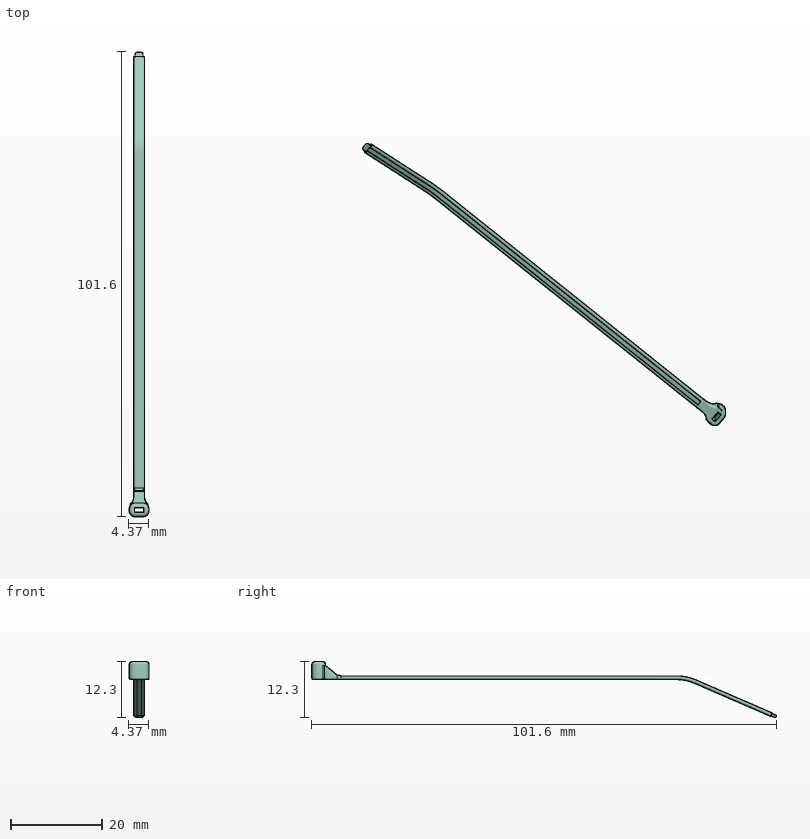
import cadquery as cq
import math


overall_length = 101.63

strap_width = 2.4
strap_thickness = 0.85
strap_radius = 0.4

groove_width = 0.95
groove_depth = 0.2

bend_start = 78.3
bend_radius = 10.0
bend_angle = 23.46

tip_length = 1.15
tip_width = 1.8
tip_thickness = 0.6
tip_corner = 0.55
tip_edge_radius = 0.2

head_width = 4.37
head_depth = 3.06
head_height = 4.0
front_flat = 1.5
side_flat = 0.65
corner_radius = 1.4
top_fillet = 0.75
bottom_fillet = 0.4

window_width = 2.0
window_depth = 0.92
window_center = -0.02

flare_start = 2.85
flare_end = 1.3
flare_width = 3.9
ramp_top = 3.1
ramp_foot = 4.0
step_top = 1.05
step_crest = 4.3
step_end = 4.85
neck_radius = 0.5

angle = math.radians(bend_angle)
head_front = -head_depth / 2
head_back = head_depth / 2
tip_end = head_front + overall_length

tip_edge_reach = tip_edge_radius + (tip_thickness / 2 - tip_edge_radius) * math.sin(angle)
tail_reach = tip_end - bend_start - bend_radius * math.sin(angle)
tail_length = (tail_reach - tip_edge_reach) / math.cos(angle) + tip_edge_radius - tip_length


def make_head():
    """Block with a flat on each of four sides, joined by round corners."""
    x_flat = front_flat / 2
    y_flat = side_flat / 2
    x_side = head_width / 2
    body = (
        cq.Workplane("XY")
        .moveTo(-x_flat, head_front)
        .lineTo(x_flat, head_front)
        .radiusArc((x_side, -y_flat), -corner_radius)
        .lineTo(x_side, y_flat)
        .radiusArc((x_flat, head_back), -corner_radius)
        .lineTo(-x_flat, head_back)
        .radiusArc((-x_side, y_flat), -corner_radius)
        .lineTo(-x_side, -y_flat)
        .radiusArc((-x_flat, head_front), -corner_radius)
        .close()
        .extrude(head_height)
    )
    return body.faces(">Z").edges().fillet(top_fillet).faces("<Z").edges().fillet(bottom_fillet)


def make_neck():
    """Ramp from the strap up to the head, flaring out to the head's width."""
    x_neck = strap_width / 2
    x_flare = flare_width / 2
    flare_depth = flare_start - flare_end
    flare_growth = x_flare - x_neck
    flare_radius = (flare_growth**2 + flare_depth**2) / (2 * flare_growth)
    ramp_slope = (ramp_top - step_top) / (ramp_foot - head_back)

    plan = (
        cq.Workplane("XY")
        .moveTo(-x_flare, 0)
        .lineTo(x_flare, 0)
        .lineTo(x_flare, flare_end)
        .radiusArc((x_neck, flare_start), flare_radius)
        .lineTo(x_neck, ramp_foot)
        .lineTo(-x_neck, ramp_foot)
        .lineTo(-x_neck, flare_start)
        .radiusArc((-x_flare, flare_end), flare_radius)
        .close()
        .extrude(head_height)
    )
    profile = (
        cq.Workplane("YZ")
        .moveTo(0, 0)
        .lineTo(ramp_foot, 0)
        .lineTo(ramp_foot, step_top)
        .lineTo(head_back, ramp_top)
        .lineTo(0, ramp_top)
        .close()
        .extrude(head_width, both=True)
    )
    neck = plan.intersect(profile)
    edge_y = (flare_start + ramp_foot) / 2
    edge_z = step_top + ramp_slope * (ramp_foot - edge_y)
    for side in (-1, 1):
        top_edge = cq.selectors.NearestToPointSelector((side * x_neck, edge_y, edge_z))
        neck = neck.edges(top_edge).fillet(neck_radius)
        bottom_edge = cq.selectors.NearestToPointSelector((side * x_neck, edge_y, 0))
        neck = neck.edges(bottom_edge).fillet(bottom_fillet)
    return neck


def make_step():
    """Thicker stretch of strap at the foot of the ramp, sloping down at its far end."""
    bar = (
        cq.Workplane("XZ", origin=(0, ramp_foot, step_top / 2))
        .placeSketch(cq.Sketch().rect(strap_width, step_top).vertices().fillet(strap_radius))
        .extrude(ramp_foot - step_end)
    )
    profile = (
        cq.Workplane("YZ")
        .moveTo(ramp_foot, 0)
        .lineTo(step_end, 0)
        .lineTo(step_end, strap_thickness)
        .lineTo(step_crest, step_top)
        .lineTo(ramp_foot, step_top)
        .close()
        .extrude(strap_width, both=True)
    )
    return bar.intersect(profile)


def make_tip(tail_end):
    """Thinner, narrower round-cornered tongue on the end of the tail, at (Y, Z) tail_end."""
    return (
        cq.Workplane("XY")
        .box(tip_width, tip_length, tip_thickness, centered=(True, False, True))
        .edges("|Z and >Y")
        .fillet(tip_corner)
        .faces("<Z or >Z")
        .edges("not <Y")
        .fillet(tip_edge_radius)
        .rotate((0, 0, 0), (1, 0, 0), -bend_angle)
        .translate((0, *tail_end))
    )


def make_strap():
    """Round-edged strap, grooved underneath: straight, then bent down, then straight to the tip."""
    mid = strap_thickness / 2
    center_z = mid - bend_radius

    def bend_point(turn):
        y = bend_start + bend_radius * math.sin(turn)
        z = center_z + bend_radius * math.cos(turn)
        return (y, z)

    bend_end_y, bend_end_z = bend_point(angle)
    end = (
        bend_end_y + tail_length * math.cos(angle),
        bend_end_z - tail_length * math.sin(angle),
    )
    path = (
        cq.Workplane("YZ")
        .moveTo(step_end, mid)
        .lineTo(bend_start, mid)
        .threePointArc(bend_point(angle / 2), bend_point(angle))
        .lineTo(*end)
        .wire()
    )
    start = cq.Workplane("XZ", origin=(0, step_end, mid))
    section = cq.Sketch().rect(strap_width, strap_thickness).vertices().fillet(strap_radius)
    strap = start.placeSketch(section).sweep(path)
    groove_section = cq.Sketch().push([(0, -mid)]).rect(groove_width, 2 * groove_depth)
    groove = start.placeSketch(groove_section).sweep(path)
    return strap.cut(groove).union(make_tip(end))


def make_window():
    """Opening straight through the head."""
    return (
        cq.Workplane("XY")
        .center(0, window_center)
        .rect(window_width, window_depth)
        .extrude(head_height)
    )


result = make_head()
for part in (make_neck(), make_step(), make_strap()):
    result = result.union(part, clean=False)
result = result.cut(make_window(), clean=False)